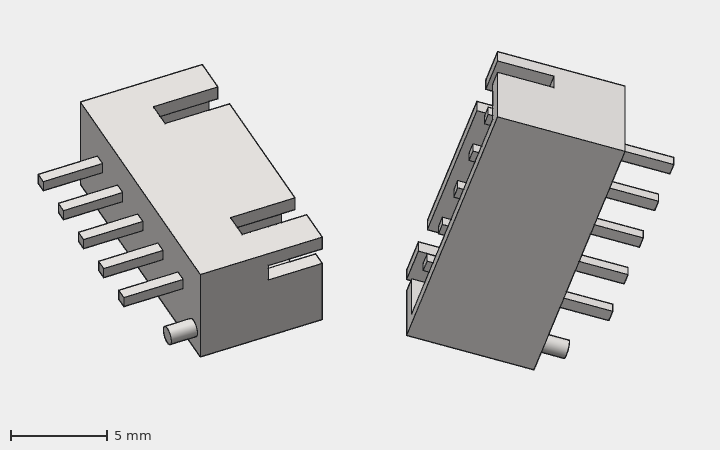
import cadquery as cq

housing_width = 14.9
housing_depth = 7.0
housing_height = 5.75
wall = 0.83
floor_thickness = 3.3

pin_count = 5
pin_pitch = 2.5
pin_size = 0.64
pin_row_height = 3.375
pin_tail_length = 3.4
pin_tip_setback = 0.2

top_slot_width = 1.45
top_slot_offset = 4.785

side_slot_height = 1.0
side_slot_length = 3.1

peg_diameter = 1.0
peg_length = 1.5
peg_x = 6.6
peg_height = 1.375

mouth_y = housing_depth
cavity_depth = housing_depth - floor_thickness
top_slot_length = cavity_depth
cavity_width = housing_width - 2 * wall
cavity_height = housing_height - 2 * wall


def box(size_x, size_y, size_z, center_x, start_y, bottom_z):
    """Box centred on center_x, running +Y from start_y and +Z from bottom_z."""
    block = cq.Workplane("XY").box(size_x, size_y, size_z, centered=(True, False, False))
    return block.translate((center_x, start_y, bottom_z))


def make_housing():
    body = box(housing_width, housing_depth, housing_height, 0, 0, 0)
    cavity = box(cavity_width, cavity_depth, cavity_height, 0, floor_thickness, wall)
    return body.cut(cavity)


def cut_top_slots(body):
    for side in (-1, 1):
        slot = box(
            top_slot_width, top_slot_length, wall,
            side * top_slot_offset, mouth_y - top_slot_length, housing_height - wall,
        )
        body = body.cut(slot)
    return body


def cut_side_slots(body):
    slot_bottom = housing_height - wall - side_slot_height
    for side in (-1, 1):
        slot = box(
            wall, side_slot_length, side_slot_height,
            side * (housing_width - wall) / 2, mouth_y - side_slot_length, slot_bottom,
        )
        body = body.cut(slot)
    return body


def add_pins(body):
    pin_length = pin_tail_length + housing_depth - pin_tip_setback
    for index in range(pin_count):
        pin_x = (index - (pin_count - 1) / 2) * pin_pitch
        pin = box(pin_size, pin_length, pin_size, pin_x, -pin_tail_length, pin_row_height - pin_size / 2)
        body = body.union(pin)
    return body


def add_peg(body):
    peg = cq.Workplane("XZ").center(peg_x, peg_height).circle(peg_diameter / 2).extrude(peg_length)
    return body.union(peg)


housing = make_housing()
housing = cut_top_slots(housing)
housing = cut_side_slots(housing)
result = add_peg(add_pins(housing))